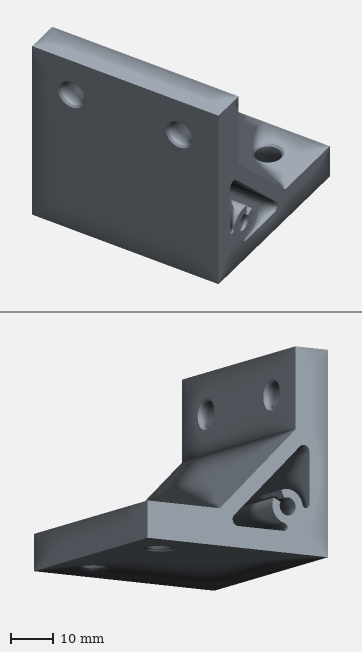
import cadquery as cq
import math

WIDTH = 52.0
LEG_LENGTH = 50.0
LEG_THICKNESS = 9.0
FREE_LEG_LENGTH = 20.0
BRACE_END = LEG_LENGTH - FREE_LEG_LENGTH

POCKET_WALL = 5.2
BRACE_THICKNESS = 3.7
POCKET_TIP_RADIUS = 1.5

BOSS_CENTER = 11.2
BOSS_RADIUS = 4.2
BORE_RADIUS = 2.2
BRACE_ANGLE = 45.0
BOSS_GAP_ANGLE = 40.0
BOSS_ROOT_RADIUS = 0.95

HOLE_DIAMETER = 6.5
HOLE_CHAMFER = 0.5
HOLE_SPACING = 30.0
HOLE_END_DISTANCE = 10.0


def make_body():
    """L-shaped profile with the diagonal brace filling the inner corner."""
    outline = [
        (0, 0),
        (LEG_LENGTH, 0),
        (LEG_LENGTH, LEG_THICKNESS),
        (BRACE_END, LEG_THICKNESS),
        (LEG_THICKNESS, BRACE_END),
        (LEG_THICKNESS, LEG_LENGTH),
        (0, LEG_LENGTH),
    ]
    return cq.Workplane("YZ").polyline(outline).close().extrude(WIDTH / 2, both=True)


def make_pocket():
    """Through pocket: walls along both legs, the brace, and the back of the boss."""
    diagonal_sum = LEG_THICKNESS + BRACE_END - BRACE_THICKNESS * math.sqrt(2)
    tip = diagonal_sum - POCKET_WALL

    root_near = POCKET_WALL + BOSS_ROOT_RADIUS
    root_offset = BOSS_CENTER - root_near
    root_distance = BOSS_RADIUS + BOSS_ROOT_RADIUS
    root_far = BOSS_CENTER + math.sqrt(root_distance**2 - root_offset**2)
    touch_fraction = BOSS_RADIUS / root_distance
    touch_near = BOSS_CENTER + (root_near - BOSS_CENTER) * touch_fraction
    touch_far = BOSS_CENTER + (root_far - BOSS_CENTER) * touch_fraction

    touch_angle = math.atan2(touch_far - root_far, touch_near - root_near)
    middle_angle = (touch_angle - math.pi) / 2
    middle_near = root_near + BOSS_ROOT_RADIUS * math.cos(middle_angle)
    middle_far = root_far + BOSS_ROOT_RADIUS * math.sin(middle_angle)

    boss_front = BOSS_CENTER + BOSS_RADIUS / math.sqrt(2)
    sketch = (
        cq.Workplane("YZ")
        .moveTo(POCKET_WALL, tip)
        .lineTo(POCKET_WALL, root_far)
        .threePointArc((middle_near, middle_far), (touch_near, touch_far))
        .threePointArc((boss_front, boss_front), (touch_far, touch_near))
        .threePointArc((middle_far, middle_near), (root_far, POCKET_WALL))
        .lineTo(tip, POCKET_WALL)
        .close()
    )
    pocket = sketch.extrude(WIDTH / 2, both=True)
    tip_edges = pocket.edges("|X").edges(">Y or >Z")
    return tip_edges.fillet(POCKET_TIP_RADIUS)


def make_boss_opening():
    """Bore of the boss with the wedge-shaped gap facing the brace."""
    bore = (
        cq.Workplane("YZ")
        .center(BOSS_CENTER, BOSS_CENTER)
        .circle(BORE_RADIUS)
        .extrude(WIDTH / 2, both=True)
    )
    start = math.radians(BRACE_ANGLE - BOSS_GAP_ANGLE / 2)
    start_point = (BOSS_RADIUS * math.cos(start), BOSS_RADIUS * math.sin(start))
    middle = BOSS_RADIUS / math.sqrt(2)
    wedge = (
        cq.Workplane("YZ")
        .center(BOSS_CENTER, BOSS_CENTER)
        .lineTo(*start_point)
        .threePointArc((middle, middle), start_point[::-1])
        .close()
        .extrude(WIDTH / 2, both=True)
    )
    return bore.union(wedge)


def make_hole_cutter(start, direction):
    """Hole through one leg, chamfered at both mouths."""
    radius = HOLE_DIAMETER / 2
    mouth_radius = radius + HOLE_CHAMFER
    along = cq.Vector(*direction)
    far_mouth = cq.Vector(*start) + along * LEG_THICKNESS
    drill = cq.Solid.makeCylinder(radius, LEG_THICKNESS, cq.Vector(*start), along)
    near_cone = cq.Solid.makeCone(mouth_radius, radius, HOLE_CHAMFER, cq.Vector(*start), along)
    far_cone = cq.Solid.makeCone(mouth_radius, radius, HOLE_CHAMFER, far_mouth, along * -1)
    return drill.fuse(near_cone, far_cone)


result = make_body().cut(make_pocket()).cut(make_boss_opening())

hole_position = LEG_LENGTH - HOLE_END_DISTANCE
for hole_x in (-HOLE_SPACING / 2, HOLE_SPACING / 2):
    result = result.cut(make_hole_cutter((hole_x, 0, hole_position), (0, 1, 0)))
    result = result.cut(make_hole_cutter((hole_x, hole_position, 0), (0, 0, 1)))